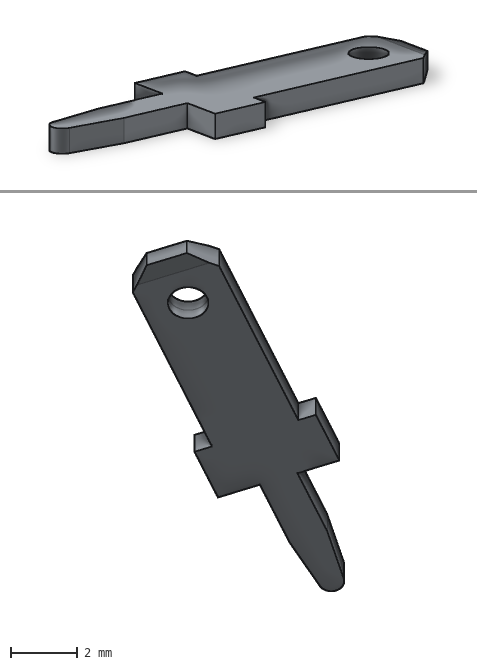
import cadquery as cq

length = 13.89
thickness = 0.8

blade_width = 2.8
blade_length = 7.25
tip_width = 1.3
tip_corner_length = 0.75
bevel_length = 0.51
bevel_depth = 0.11
hole_diameter = 1.22
hole_from_tip = 1.75

shoulder_width = 3.95
shoulder_length = 1.93

pin_width = 1.22
pin_end_width = 0.78
pin_taper_length = 1.93
pin_round_height = 0.35

blade_start = length - blade_length
shoulder_start = blade_start - shoulder_length
taper_start = pin_round_height + pin_taper_length


def make_blank():
    """Flat outline of the terminal, symmetric about the YZ plane."""
    right_side = [
        (pin_end_width / 2, pin_round_height),
        (pin_width / 2, taper_start),
        (pin_width / 2, shoulder_start),
        (shoulder_width / 2, shoulder_start),
        (shoulder_width / 2, blade_start),
        (blade_width / 2, blade_start),
        (blade_width / 2, length - tip_corner_length),
        (tip_width / 2, length),
    ]
    left_side = [(-x, y) for x, y in reversed(right_side)]
    return (
        cq.Workplane("XY")
        .polyline(right_side + left_side)
        .threePointArc((0, 0), right_side[0])
        .close()
        .extrude(thickness / 2, both=True)
    )


def make_tip_bevel(side):
    """Wedge that thins the blade tip on the top (side=1) or bottom (side=-1) face."""
    face = side * thickness / 2
    return (
        cq.Workplane("YZ")
        .polyline([(length - bevel_length, face), (length, face), (length, face - side * bevel_depth)])
        .close()
        .extrude(blade_width / 2, both=True)
    )


def make_hole():
    """Round hole through the blade."""
    return (
        cq.Workplane("XY")
        .center(0, length - hole_from_tip)
        .circle(hole_diameter / 2)
        .extrude(thickness, both=True)
    )


result = make_blank().cut(make_hole())
for side in (1, -1):
    result = result.cut(make_tip_bevel(side))